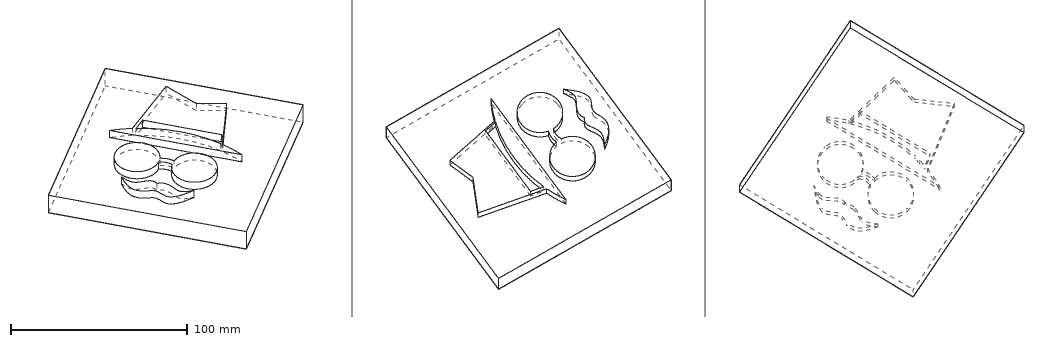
import cadquery as cq

plate_side = 116.8
total_height = 18.2
plate_height = 13.0
relief_height = total_height - plate_height

brim_half_width = 39.0
brim_base_y = 0.2
brim_top_y = 10.2

crown_left_foot = (-27.2, 5.3)
crown_left_peak = (-19.0, 46.6)
crown_valley = (1.8, 36.6)
crown_right_peak = (18.1, 41.6)
crown_right_foot = (25.8, 5.7)

band_top_y = 14.1
band_top_left_x = -23.6
band_top_right_x = 23.1
band_foot_left = (-25.1, 6.1)
band_foot_right = (24.8, 6.1)

lens_radius = 13.0
lens_spacing = 33.9
glasses_x = -0.7
glasses_y = -18.1
bridge_half_width = 4.4
bridge_upper_end_y = -15.7
bridge_upper_mid_y = -14.8
bridge_lower_end_y = -19.3
bridge_lower_mid_y = -18.1

moustache_left_tip = (-21.3, -37.5)
moustache_notch = (-0.2, -37.5)
moustache_right_tip = (21.6, -37.5)
upper_left_curve = [(-17.8, -39.1), (-13.7, -40.1), (-9.0, -38.3), (-4.1, -36.1)]
upper_right_curve = [(3.7, -36.2), (10.2, -38.8), (14.4, -40.5), (17.9, -39.6)]
lower_curve = [
    (17.3, -42.3),
    (12.3, -46.0),
    (9.1, -47.0),
    (4.4, -45.4),
    (0.2, -44.0),
    (-4.1, -45.4),
    (-8.0, -46.5),
    (-11.1, -46.3),
    (-16.1, -43.5),
]


def relief_plane():
    """Sketch plane on the top face of the plate."""
    return cq.Workplane("XY", origin=(0, 0, plate_height))


def make_plate():
    return cq.Workplane("XY").box(plate_side, plate_side, plate_height, centered=(True, True, False))


def make_hat():
    brim = (
        relief_plane()
        .moveTo(-brim_half_width, brim_base_y)
        .threePointArc((0, brim_top_y), (brim_half_width, brim_base_y))
        .close()
        .extrude(relief_height)
    )
    crown = (
        relief_plane()
        .polyline([crown_left_foot, crown_left_peak, crown_valley, crown_right_peak, crown_right_foot])
        .close()
        .extrude(relief_height)
    )
    band_corners = [
        band_foot_left,
        (band_top_left_x, band_top_y),
        (band_top_right_x, band_top_y),
        band_foot_right,
    ]
    band = relief_plane().polyline(band_corners).close().extrude(relief_height)
    return crown.cut(band).union(brim)


def make_glasses():
    lenses = (
        relief_plane()
        .center(glasses_x, glasses_y)
        .rarray(lens_spacing, 1.2, 2, 1)
        .circle(lens_radius)
        .extrude(relief_height)
    )
    left_x = glasses_x - bridge_half_width
    right_x = glasses_x + bridge_half_width
    bridge = (
        relief_plane()
        .moveTo(left_x, bridge_upper_end_y)
        .threePointArc((glasses_x, bridge_upper_mid_y), (right_x, bridge_upper_end_y))
        .lineTo(right_x, bridge_lower_end_y)
        .threePointArc((glasses_x, bridge_lower_mid_y), (left_x, bridge_lower_end_y))
        .close()
        .extrude(relief_height)
    )
    return lenses.union(bridge)


def make_moustache():
    return (
        relief_plane()
        .moveTo(*moustache_left_tip)
        .spline(upper_left_curve + [moustache_notch], includeCurrent=True)
        .spline(upper_right_curve + [moustache_right_tip], includeCurrent=True)
        .spline(lower_curve + [moustache_left_tip], includeCurrent=True)
        .close()
        .extrude(relief_height)
    )


result = make_plate().union(make_hat()).union(make_glasses()).union(make_moustache())